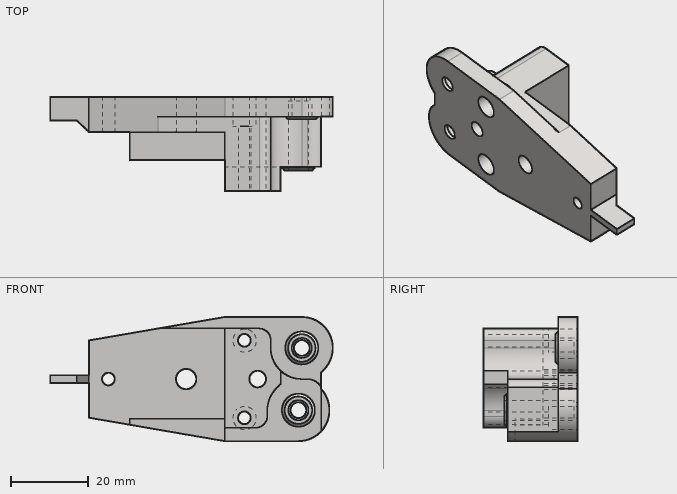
import cadquery as cq
import math

PLATE_DEPTH = 5.0
BODY_DEPTH = 9.0
LEDGE_DEPTH = 16.2
LOWER_BLOCK_DEPTH = 18.0
HEAD_DEPTH = 24.2

BODY_LEFT = 10.0
TAPER_END = 45.0
LEFT_HALF_HEIGHT = 10.0
HALF_HEIGHT = 16.0
STEP_TOP = 13.0
TAPER_SLOPE = (HALF_HEIGHT - LEFT_HALF_HEIGHT) / (TAPER_END - BODY_LEFT)

LOBE_RADIUS = HALF_HEIGHT / 2
UPPER_X = 72.8 - LOBE_RADIUS
LOWER_X = UPPER_X - 0.9
UPPER_Z = LOBE_RADIUS
LOWER_Z = -LOBE_RADIUS
BLOCK_RIGHT = 69.7
BLOCK_CORNER_X = 66.2
BLOCK_CORNER_RADIUS = 4.0

HEAD_RIGHT = 59.3
HEAD_BOTTOM = -12.5
HEAD_CORNER_RADIUS = 3.0

LEDGE_LEFT = 20.45
LEDGE_TOP = -10.2

TAB_THICKNESS = 2.05
TAB_DEPTH = 6.1
TAB_SLOPE_START = 6.9

BUSHING_DIAMETER = 8.5
BUSHING_CHAMFER = 0.7
UPPER_BUSHING_HEIGHT = 0.7
LOWER_BUSHING_HEIGHT = 0.95
BUSHING_BORE = 4.0
BUSHING_COUNTERBORE = 5.2
BORE_LIP = 1.0

SCREW_DIAMETER = 3.2
SCREW_X = 50.0
SCREW_Z = 10.0
SCREW_HEAD_DIAMETER = 6.0
SCREW_HEAD_DEPTH = 7.5
LEFT_HOLE_X = 15.0
PIVOT_X = 35.0
PIVOT_DIAMETER = 5.2
HEAD_HOLE_X = 53.4
HEAD_HOLE_DIAMETER = 4.2


def on_lobe(center_x, center_z, degrees):
    """Point on a lobe circle at an angle from +X toward +Z."""
    angle = math.radians(degrees)
    return (
        center_x + LOBE_RADIUS * math.cos(angle),
        center_z + LOBE_RADIUS * math.sin(angle),
    )


def front_cylinder(x, z, diameter, depth, start=0.0):
    """Cylinder running toward -Y from a starting depth."""
    plane = cq.Workplane("XZ", origin=(x, -start, z))
    return plane.circle(diameter / 2).extrude(depth - start)


side_angle = math.degrees(math.acos((BLOCK_RIGHT - LOWER_X) / LOBE_RADIUS))

neck_z = UPPER_Z - LOBE_RADIUS * math.sqrt(2) + BLOCK_RIGHT - UPPER_X


def make_plate():
    """Back plate with a tapered left part and two lobes on the right."""
    return (
        cq.Workplane("XZ")
        .moveTo(BODY_LEFT, -LEFT_HALF_HEIGHT)
        .lineTo(BODY_LEFT, LEFT_HALF_HEIGHT)
        .lineTo(TAPER_END, HALF_HEIGHT)
        .lineTo(UPPER_X, HALF_HEIGHT)
        .threePointArc(on_lobe(UPPER_X, UPPER_Z, 0), on_lobe(UPPER_X, UPPER_Z, -45))
        .lineTo(BLOCK_RIGHT, neck_z)
        .lineTo(*on_lobe(LOWER_X, LOWER_Z, side_angle))
        .threePointArc(on_lobe(LOWER_X, LOWER_Z, 0), on_lobe(LOWER_X, LOWER_Z, -90))
        .lineTo(TAPER_END, -HALF_HEIGHT)
        .close()
        .extrude(PLATE_DEPTH)
    )


def make_body():
    """Thicker tapered body, cut level at the upper step."""
    step_x = BODY_LEFT + (STEP_TOP - LEFT_HALF_HEIGHT) / TAPER_SLOPE
    outline = [
        (BODY_LEFT, -LEFT_HALF_HEIGHT),
        (BODY_LEFT, LEFT_HALF_HEIGHT),
        (step_x, STEP_TOP),
        (TAPER_END, STEP_TOP),
        (TAPER_END, -HALF_HEIGHT),
    ]
    return cq.Workplane("XZ").polyline(outline).close().extrude(BODY_DEPTH)


def make_ledge():
    """Wedge-shaped ledge standing on the lower edge of the body."""
    left_bottom = -LEFT_HALF_HEIGHT - TAPER_SLOPE * (LEDGE_LEFT - BODY_LEFT)
    outline = [
        (LEDGE_LEFT, left_bottom),
        (LEDGE_LEFT, LEDGE_TOP),
        (TAPER_END, LEDGE_TOP),
        (TAPER_END, -HALF_HEIGHT),
    ]
    return cq.Workplane("XZ").polyline(outline).close().extrude(LEDGE_DEPTH)


def make_lower_block():
    """Block around the lower bushing, hollowed by the upper lobe circle."""
    corner_run = BLOCK_RIGHT - BLOCK_CORNER_X
    corner_drop = BLOCK_CORNER_RADIUS - math.sqrt(BLOCK_CORNER_RADIUS**2 - corner_run**2)
    return (
        cq.Workplane("XZ")
        .moveTo(TAPER_END, -HALF_HEIGHT)
        .lineTo(LOWER_X, -HALF_HEIGHT)
        .threePointArc(on_lobe(LOWER_X, LOWER_Z, -70), on_lobe(LOWER_X, LOWER_Z, -side_angle))
        .lineTo(BLOCK_RIGHT, -corner_drop)
        .radiusArc((BLOCK_CORNER_X, 0), -BLOCK_CORNER_RADIUS)
        .lineTo(UPPER_X, 0)
        .threePointArc(on_lobe(UPPER_X, UPPER_Z, -135), on_lobe(UPPER_X, UPPER_Z, 180))
        .lineTo(TAPER_END, UPPER_Z)
        .close()
        .extrude(LOWER_BLOCK_DEPTH)
    )


def make_head():
    """Tall head block whose right side hugs both lobe circles."""
    upper_left = UPPER_X - LOBE_RADIUS
    lower_left = LOWER_X - LOBE_RADIUS
    cusp_angle = 180 + math.degrees(math.acos((UPPER_X - HEAD_RIGHT) / LOBE_RADIUS))
    tangent_x, tangent_z = on_lobe(LOWER_X, LOWER_Z, 135)
    radius = HEAD_CORNER_RADIUS
    return (
        cq.Workplane("XZ")
        .moveTo(TAPER_END, HEAD_BOTTOM)
        .lineTo(TAPER_END, STEP_TOP)
        .lineTo(upper_left - radius, STEP_TOP)
        .radiusArc((upper_left, STEP_TOP - radius), radius)
        .lineTo(upper_left, UPPER_Z)
        .threePointArc(on_lobe(UPPER_X, UPPER_Z, 200), on_lobe(UPPER_X, UPPER_Z, cusp_angle))
        .lineTo(HEAD_RIGHT, tangent_z + HEAD_RIGHT - tangent_x)
        .lineTo(tangent_x, tangent_z)
        .threePointArc(on_lobe(LOWER_X, LOWER_Z, 160), on_lobe(LOWER_X, LOWER_Z, 180))
        .lineTo(lower_left, HEAD_BOTTOM + radius)
        .radiusArc((lower_left - radius, HEAD_BOTTOM), radius)
        .close()
        .extrude(HEAD_DEPTH)
    )


def make_tab():
    """Thin horizontal tab with a sloped front edge."""
    outline = [
        (0, 0),
        (0, -TAB_DEPTH),
        (TAB_SLOPE_START, -TAB_DEPTH),
        (BODY_LEFT, -BODY_DEPTH),
        (BODY_LEFT, 0),
    ]
    tab = cq.Workplane("XY").polyline(outline).close()
    return tab.extrude(TAB_THICKNESS / 2, both=True)


result = make_plate()
for piece in (make_body(), make_ledge(), make_lower_block(), make_head(), make_tab()):
    result = result.union(piece)

bushings = [
    (UPPER_X, UPPER_Z, PLATE_DEPTH, UPPER_BUSHING_HEIGHT),
    (LOWER_X, LOWER_Z, LOWER_BLOCK_DEPTH, LOWER_BUSHING_HEIGHT),
]
for x, z, base, height in bushings:
    top = base + height
    collar = front_cylinder(x, z, BUSHING_DIAMETER, top)
    collar = collar.faces("<Y").chamfer(BUSHING_CHAMFER)
    result = result.union(collar)
    result = result.cut(front_cylinder(x, z, BUSHING_BORE, top))
    result = result.cut(front_cylinder(x, z, BUSHING_COUNTERBORE, top, BORE_LIP))

holes = [
    (LEFT_HOLE_X, 0, SCREW_DIAMETER),
    (PIVOT_X, 0, PIVOT_DIAMETER),
    (HEAD_HOLE_X, 0, HEAD_HOLE_DIAMETER),
    (SCREW_X, SCREW_Z, SCREW_DIAMETER),
    (SCREW_X, -SCREW_Z, SCREW_DIAMETER),
]
for x, z, diameter in holes:
    result = result.cut(front_cylinder(x, z, diameter, HEAD_DEPTH))

for z in (SCREW_Z, -SCREW_Z):
    result = result.cut(front_cylinder(SCREW_X, z, SCREW_HEAD_DIAMETER, SCREW_HEAD_DEPTH))